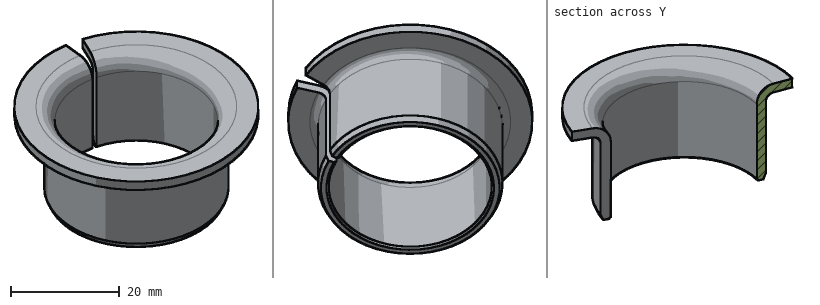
import cadquery as cq
import math

flange_radius = 22.5
height = 20.0
wall = 2.0
bore_radius = 15.0
bend_outer_radius = 1.5
chamfer_height = 1.2
chamfer_width = 0.55
bore_chamfer = 0.4
slit_half_gap = 0.45
slit_side_angle = 10.0
slit_overrun = 2.25

sleeve_radius = bore_radius + wall
bend_inner_radius = bend_outer_radius + wall
bend_center_radius = bore_radius + bend_inner_radius
bend_center_z = height - bend_inner_radius
flange_bottom_z = height - wall
bend_diagonal = math.sqrt(0.5)


def bend_midpoint(radius):
    """Point halfway round a quarter bend about the shared bend center."""
    offset = radius * bend_diagonal
    return (bend_center_radius - offset, bend_center_z + offset)


def flanged_sleeve():
    """Wall section in the XZ plane, revolved about Z."""
    section = (
        cq.Workplane("XZ")
        .moveTo(bore_radius, bore_chamfer)
        .lineTo(bore_radius + bore_chamfer, 0)
        .lineTo(sleeve_radius - chamfer_width, 0)
        .lineTo(sleeve_radius, chamfer_height)
        .lineTo(sleeve_radius, bend_center_z)
        .threePointArc(bend_midpoint(bend_outer_radius), (bend_center_radius, flange_bottom_z))
        .lineTo(flange_radius, flange_bottom_z)
        .lineTo(flange_radius, height)
        .lineTo(bend_center_radius, height)
        .threePointArc(bend_midpoint(bend_inner_radius), (bore_radius, bend_center_z))
        .close()
    )
    sleeve = section.revolve(360, (0, 0, 0), (0, 1, 0))
    return sleeve.rotate((0, 0, 0), (0, 0, 1), 180)


def slit():
    """Full-height wedge opening outward on the -X side."""
    spread = math.tan(math.radians(slit_side_angle))
    apex_radius = bore_radius - slit_half_gap / spread
    end_radius = flange_radius + slit_overrun
    end_half_gap = (end_radius - apex_radius) * spread
    return (
        cq.Workplane("XY")
        .polyline([(-apex_radius, 0), (-end_radius, end_half_gap), (-end_radius, -end_half_gap)])
        .close()
        .extrude(height)
    )


result = flanged_sleeve().cut(slit())